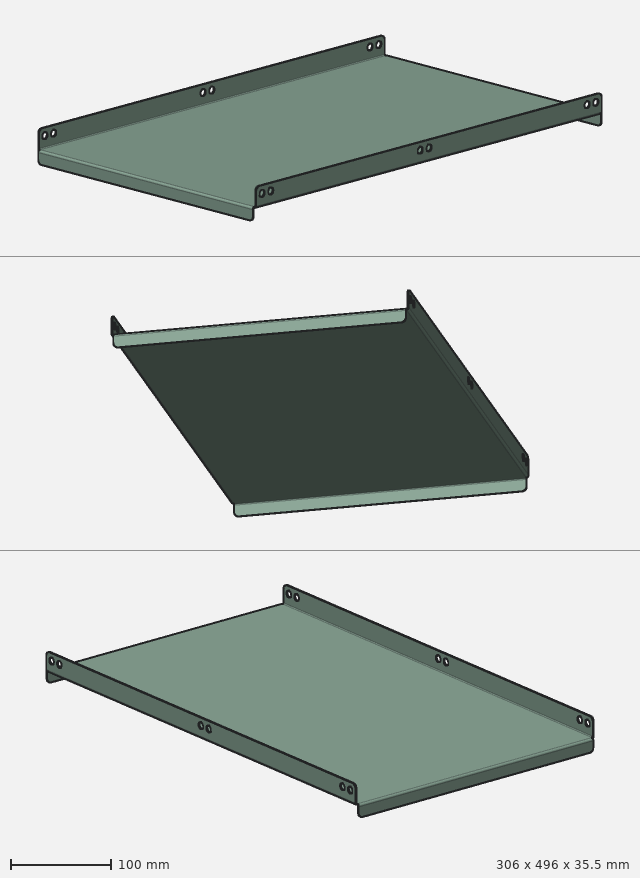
import cadquery as cq

width = 306.0
length = 496.0
height = 35.5
thickness = 1.5
inner_bend_radius = 1.0
outer_bend_radius = inner_bend_radius + thickness
down_flange_height = 15.0
corner_radius = 5.0
flange_inset = 2.5

hole_diameter = 7.5
hole_drop = 8.5
hole_pitch = 12.5
end_hole_y = 237.0
hole_positions_y = [
    end_hole_y,
    end_hole_y - hole_pitch,
    0,
    -hole_pitch,
    hole_pitch - end_hole_y,
    -end_hole_y,
]

panel_bottom = -thickness
side_flange_top = height - down_flange_height
side_flange_height = side_flange_top - panel_bottom
side_flange_length = length - 2 * flange_inset
end_flange_width = width - 2 * flange_inset


def channel(plane, span, flange_height, depth):
    """U-shaped sheet with rounded bends; its web's outer face is on local y = 0."""
    outer_half = span / 2
    inner_half = outer_half - thickness
    bend_half = outer_half - outer_bend_radius
    diagonal = 0.5 ** 0.5
    outer_mid = bend_half + outer_bend_radius * diagonal
    inner_mid = bend_half + inner_bend_radius * diagonal
    outer_mid_y = outer_bend_radius * (1 - diagonal)
    inner_mid_y = outer_bend_radius - inner_bend_radius * diagonal
    return (
        cq.Workplane(plane)
        .moveTo(-outer_half, flange_height)
        .lineTo(-outer_half, outer_bend_radius)
        .threePointArc((-outer_mid, outer_mid_y), (-bend_half, 0))
        .lineTo(bend_half, 0)
        .threePointArc((outer_mid, outer_mid_y), (outer_half, outer_bend_radius))
        .lineTo(outer_half, flange_height)
        .lineTo(inner_half, flange_height)
        .lineTo(inner_half, outer_bend_radius)
        .threePointArc((inner_mid, inner_mid_y), (bend_half, thickness))
        .lineTo(-bend_half, thickness)
        .threePointArc((-inner_mid, inner_mid_y), (-inner_half, outer_bend_radius))
        .lineTo(-inner_half, flange_height)
        .close()
        .extrude(depth)
    )


side_plane = cq.Plane(origin=(0, side_flange_length / 2, panel_bottom), xDir=(1, 0, 0), normal=(0, -1, 0))
side_channel = channel(side_plane, width, side_flange_height, side_flange_length)
side_corners = cq.selectors.BoxSelector(
    (-width, -length, side_flange_top - thickness),
    (width, length, side_flange_top + thickness),
)
side_channel = side_channel.edges("|X").edges(side_corners).fillet(corner_radius)

end_plane = cq.Plane(origin=(end_flange_width / 2, 0, 0), xDir=(0, 1, 0), normal=(-1, 0, 0))
end_channel = channel(end_plane, length, down_flange_height, end_flange_width)
end_corners = cq.selectors.BoxSelector(
    (-width, -length, -down_flange_height - thickness),
    (width, length, -down_flange_height + thickness),
)
end_channel = end_channel.edges("|Y").edges(end_corners).fillet(corner_radius)

holes = (
    cq.Workplane("YZ")
    .pushPoints([(y, side_flange_top - hole_drop) for y in hole_positions_y])
    .circle(hole_diameter / 2)
    .extrude(width, both=True)
)

result = side_channel.union(end_channel).cut(holes).clean()